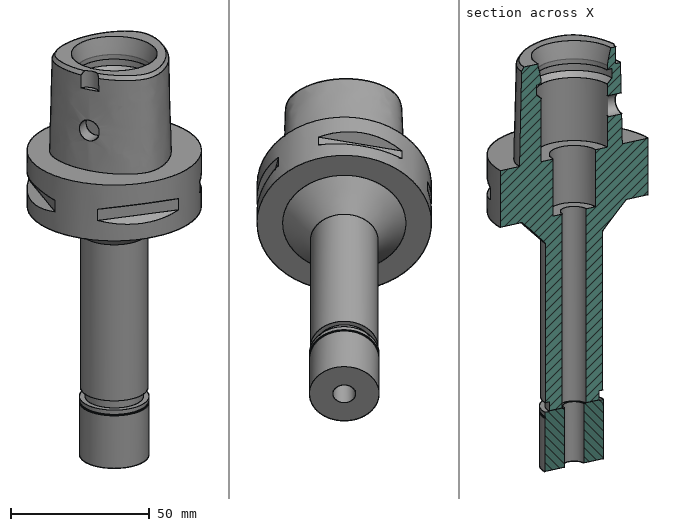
import cadquery as cq
import math


shank_height = 38.0
shank_mean_radius = 22.0
shank_lobe = 1.4
shank_taper = 1 / 20
shank_chamfer_height = 1.5
shank_chamfer_width = 1.0
outline_points = 48

flange_radius = 31.5
flange_height = 22.0
slot_count = 4
slot_first_angle = 45.0
slot_floor_radius = 27.5
slot_floor_height = 4.4
slot_flank_rise = 1.6
slot_middle_z = -12.0

stem_radius = 12.25
stem_cone_height = 10.0
stem_cone_top_radius = stem_radius + stem_cone_height
stem_end_z = -93.5
neck_radius = 10.6

nut_top_z = -97.0
nut_bottom_z = -120.0
nut_radius = 12.6
nut_groove_z = -99.0
nut_groove_height = 0.5
nut_groove_depth = 0.2
nut_bore_radius = 4.1

mouth_radius = 15.5
bore_radius = 14.0
mouth_depth = 6.5
land_height = 1.8
clamp_groove_depth = 2.0
clamp_groove_end_depth = 13.7
bore_depth = 38.0
draw_bolt_radius = 9.0
draw_bolt_depth = 60.0
coolant_radius = 5.0

notch_radius = 4.5
notch_center_y = -22.25
notch_depth = 6.5
side_hole_radius = 4.0
side_hole_z = 15.6
side_hole_floor_y = -14.6


def polygon_point(angle, mean_radius):
    """Point of the constant-width three-lobed outline that has one lobe toward +Y."""
    along = mean_radius * math.cos(angle) + shank_lobe * (2 * math.cos(2 * angle) - math.cos(4 * angle))
    across = mean_radius * math.sin(angle) - shank_lobe * (2 * math.sin(2 * angle) + math.sin(4 * angle))
    return across, along


def polygon_wire(z, mean_radius):
    """Closed smooth outline at height z, starting at the flat side facing -Y."""
    points = []
    for index in range(outline_points):
        angle = math.pi + 2 * math.pi * index / outline_points
        points.append(cq.Vector(*polygon_point(angle, mean_radius), z))
    return cq.Wire.assembleEdges([cq.Edge.makeSpline(points, periodic=True)])


def make_shank():
    chamfer_z = shank_height - shank_chamfer_height
    chamfer_radius = shank_mean_radius - chamfer_z * shank_taper / 2
    outlines = [
        polygon_wire(0, shank_mean_radius),
        polygon_wire(chamfer_z, chamfer_radius),
        polygon_wire(shank_height, chamfer_radius - shank_chamfer_width),
    ]
    return cq.Workplane(cq.Solid.makeLoft(outlines, True))


def flange_and_stem():
    cone_bottom_z = -flange_height - stem_cone_height
    profile = [
        (0, 0),
        (flange_radius, 0),
        (flange_radius, -flange_height),
        (stem_cone_top_radius, -flange_height),
        (stem_radius, cone_bottom_z),
        (stem_radius, stem_end_z),
        (neck_radius, stem_end_z),
        (neck_radius, nut_top_z),
        (0, nut_top_z),
    ]
    return cq.Workplane("XZ").polyline(profile).close().revolve(360, (0, 0), (0, 1))


def holder_bore():
    land_end_z = shank_height - mouth_depth - land_height
    groove_end_z = shank_height - clamp_groove_end_depth
    bore_end_z = shank_height - bore_depth
    draw_bolt_end_z = shank_height - draw_bolt_depth
    groove_radius = bore_radius + clamp_groove_depth
    profile = [
        (0, shank_height),
        (mouth_radius, shank_height),
        (bore_radius, shank_height - mouth_depth),
        (bore_radius, land_end_z),
        (groove_radius, land_end_z),
        (groove_radius, groove_end_z + clamp_groove_depth),
        (bore_radius, groove_end_z),
        (bore_radius, bore_end_z),
        (draw_bolt_radius, bore_end_z),
        (draw_bolt_radius, draw_bolt_end_z),
        (coolant_radius, draw_bolt_end_z),
        (coolant_radius, nut_top_z),
        (0, nut_top_z),
    ]
    return cq.Workplane("XZ").polyline(profile).close().revolve(360, (0, 0), (0, 1))


def gripper_slot(angle):
    """Straight slot across the flange rim, opening outward between sloping flanks."""
    floor_half = slot_floor_height / 2
    rim_half = floor_half + slot_flank_rise
    profile = [
        (slot_floor_radius, -floor_half),
        (flange_radius, -rim_half),
        (flange_radius, rim_half),
        (slot_floor_radius, floor_half),
    ]
    return (
        cq.Workplane("XZ")
        .polyline(profile)
        .close()
        .extrude(flange_radius, both=True)
        .translate((0, 0, slot_middle_z))
        .rotate((0, 0, 0), (0, 0, 1), angle)
    )


def keying_notch():
    return (
        cq.Workplane("XY", origin=(0, notch_center_y, shank_height - notch_depth))
        .circle(notch_radius)
        .extrude(notch_depth)
    )


def side_hole():
    """Blind flat-bottomed hole drilled toward +Y."""
    return (
        cq.Workplane("XZ", origin=(0, side_hole_floor_y, side_hole_z))
        .circle(side_hole_radius)
        .extrude(flange_radius)
    )


def make_holder():
    body = make_shank().union(flange_and_stem()).cut(holder_bore())
    for index in range(slot_count):
        body = body.cut(gripper_slot(slot_first_angle + index * 360 / slot_count))
    return body.cut(keying_notch()).cut(side_hole())


def make_nut():
    height = nut_top_z - nut_bottom_z
    body = cq.Workplane("XY", origin=(0, 0, nut_bottom_z)).circle(nut_radius).extrude(height)
    groove = (
        cq.Workplane("XY", origin=(0, 0, nut_groove_z - nut_groove_height / 2))
        .circle(nut_radius)
        .circle(nut_radius - nut_groove_depth)
        .extrude(nut_groove_height)
    )
    bore = cq.Workplane("XY", origin=(0, 0, nut_bottom_z)).circle(nut_bore_radius).extrude(height)
    return body.cut(groove).cut(bore)


holder = make_holder()
nut = make_nut()
result = cq.Compound.makeCompound([holder.val(), nut.val()])